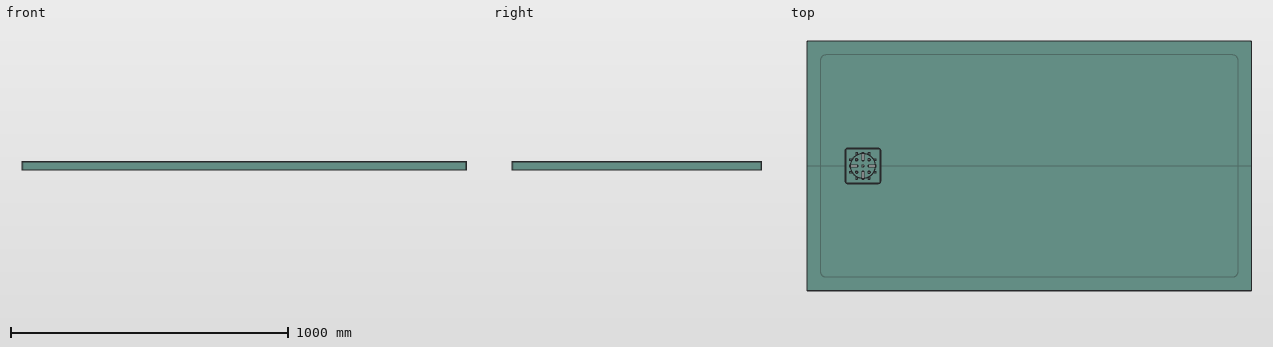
import cadquery as cq
import math

LENGTH = 1600.0
WIDTH = 900.0
HEIGHT = 30.0
CORNER_RADIUS = 5.0

RIM_WIDTH = 50.0
RIM_DROP = 1.0
BASIN_LENGTH = LENGTH - 2 * RIM_WIDTH
BASIN_WIDTH = WIDTH - 2 * RIM_WIDTH
BASIN_RADIUS = 20.0
BASIN_Z = HEIGHT - RIM_DROP

DRAIN_X = -598.0
BASIN_DROP = 15.0
DRAIN_Z = BASIN_Z - BASIN_DROP
RECESS_SIZE = 130.0
RECESS_RADIUS = 13.0
DRAIN_DIAMETER = 90.0

GRATE_SIZE = 123.0
GRATE_THICKNESS = 2.0
GRATE_RADIUS = 3.0
GRATE_SINK = 2.0
RECESS_DEPTH = GRATE_SINK + GRATE_THICKNESS
RECESS_FLOOR_Z = DRAIN_Z - RECESS_DEPTH

SMALL_HOLE = 6.0
MIDDLE_BAND = 22.0
OUTER_BAND_START = 40.0
OUTER_BAND_END = 48.0
OPENING_RADIUS = 2.0


def half_outline(length, width, radius, z, center_x, side):
    """Edges of half a rounded rectangle, from its -X end round to its +X end.

    side is +1 for the half at +Y and -1 for the half at -Y.
    """
    end_x = length / 2
    side_y = width / 2
    arc_inset = radius * (1 - math.sqrt(0.5))

    def point(x, y):
        return cq.Vector(center_x + x, side * y, z)

    return [
        cq.Edge.makeLine(point(-end_x, 0), point(-end_x, side_y - radius)),
        cq.Edge.makeThreePointArc(
            point(-end_x, side_y - radius),
            point(-end_x + arc_inset, side_y - arc_inset),
            point(-end_x + radius, side_y),
        ),
        cq.Edge.makeLine(point(-end_x + radius, side_y), point(end_x - radius, side_y)),
        cq.Edge.makeThreePointArc(
            point(end_x - radius, side_y),
            point(end_x - arc_inset, side_y - arc_inset),
            point(end_x, side_y - radius),
        ),
        cq.Edge.makeLine(point(end_x, side_y - radius), point(end_x, 0)),
    ]


def sloped_half(outer, inner):
    """One smooth face between two half outlines, closed along the middle plane Y = 0."""
    start_seam = cq.Edge.makeLine(inner[0].startPoint(), outer[0].startPoint())
    end_seam = cq.Edge.makeLine(outer[-1].endPoint(), inner[-1].endPoint())
    boundary = [*outer, end_seam, *reversed(inner), start_seam]
    return cq.Face.makeNSidedSurface(boundary, [], degree=2)


def tray_blank():
    """Solid tray with the sloped rim and basin, still closed where the drain goes."""
    faces = []
    drain_outline = []
    bottom_outline = []
    for side in (1, -1):
        bottom = half_outline(LENGTH, WIDTH, CORNER_RADIUS, 0, 0, side)
        top = half_outline(LENGTH, WIDTH, CORNER_RADIUS, HEIGHT, 0, side)
        basin = half_outline(BASIN_LENGTH, BASIN_WIDTH, BASIN_RADIUS, BASIN_Z, 0, side)
        drain = half_outline(RECESS_SIZE, RECESS_SIZE, RECESS_RADIUS, DRAIN_Z, DRAIN_X, side)
        faces.append(sloped_half(top, basin))
        faces.append(sloped_half(basin, drain))
        faces += [cq.Face.makeRuledSurface(low, high) for low, high in zip(bottom, top)]
        drain_outline += drain
        bottom_outline += bottom
    for outline in (drain_outline, bottom_outline):
        faces.append(cq.Face.makeFromWires(cq.Wire.combine(outline)[0]))
    shell = cq.Shell.makeShell(faces)
    return cq.Workplane(cq.Solid.makeSolid(shell))


def rounded_plate(length, width, radius, z_bottom, height):
    """Flat rounded rectangle centred on the drain."""
    return (
        cq.Workplane("XY", origin=(DRAIN_X, 0, z_bottom))
        .rect(length, width)
        .extrude(height)
        .edges("|Z")
        .fillet(radius)
    )


def make_tray():
    """Tray with the square grate recess and the round drain hole through its floor."""
    recess = rounded_plate(RECESS_SIZE, RECESS_SIZE, RECESS_RADIUS, RECESS_FLOOR_Z, RECESS_DEPTH)
    drain_hole = cq.Workplane("XY", origin=(DRAIN_X, 0, 0)).circle(DRAIN_DIAMETER / 2).extrude(HEIGHT)
    return tray_blank().cut(recess).cut(drain_hole).solids()


def grate_opening(x_start, x_end, y_start, y_end):
    """Cutter for one opening, given by its extents from the grate centre."""
    cutter = rounded_plate(x_end - x_start, y_end - y_start, OPENING_RADIUS, RECESS_FLOOR_Z, GRATE_THICKNESS)
    return cutter.translate(((x_start + x_end) / 2, (y_start + y_end) / 2, 0))


def make_grate():
    """Square plate with the same openings on each of its four sides."""
    half_hole = SMALL_HOLE / 2
    center = (-half_hole, half_hole)
    middle = (MIDDLE_BAND - half_hole, MIDDLE_BAND + half_hole)
    middle_mirrored = (-middle[1], -middle[0])
    outer = (OUTER_BAND_START, OUTER_BAND_END)
    slot = (middle[0], OUTER_BAND_END)

    grate = rounded_plate(GRATE_SIZE, GRATE_SIZE, GRATE_RADIUS, RECESS_FLOOR_Z, GRATE_THICKNESS)
    grate = grate.cut(grate_opening(*center, *center))
    side_openings = [
        grate_opening(*slot, *center),
        grate_opening(*middle, *middle),
        grate_opening(*outer, *middle),
        grate_opening(*outer, *middle_mirrored),
    ]
    for quarter in range(4):
        for opening in side_openings:
            grate = grate.cut(opening.rotate((DRAIN_X, 0, 0), (DRAIN_X, 0, 1), 90 * quarter))
    return grate.solids()


tray = make_tray()
grate = make_grate()
result = cq.Compound.makeCompound([tray.val(), grate.val()])